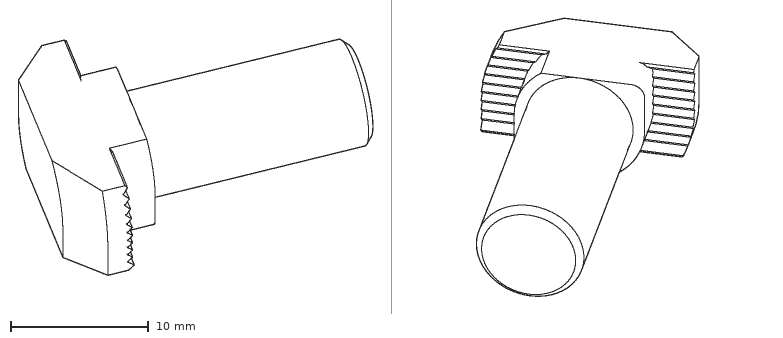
import cadquery as cq
import math


thickness = 8.0
half_thickness = thickness / 2
total_length = 24.2

head_width = 15.8
head_chamfer = 2.6
left_round_start = 0.0
right_round_start = -0.8
left_setback_base = 0.92
left_setback_face = 1.78
right_setback_base = 1.33
right_setback_face = 2.6

groove_root_y = 4.09
groove_pitch = 0.805
first_groove_z = 4.23
regular_groove_count = 10
last_groove_z = -4.08
clamping_face_y = 4.62

neck_width = 9.7
neck_round_start = 0.0
neck_round_setback = 2.0
neck_end_y = 7.17
neck_corner_radius = 1.0

shank_diameter = thickness
shank_chamfer = 0.5


def rounding_point(side_x, start_z, setback, height):
    """X of a corner arc at the given height above start_z.

    The arc is tangent to the side at start_z and reaches the full setback at the top face.
    """
    full_height = half_thickness - start_z
    radius = (full_height ** 2 + setback ** 2) / (2 * setback)
    return side_x - radius + math.sqrt(radius ** 2 - height ** 2)


def section(workplane, half_width, left_start, left_setback, right_start, right_setback):
    """Block section with its upper right and lower left corners rounded by large arcs."""
    left_height = half_thickness + left_start
    right_height = half_thickness - right_start
    left_mid_x = -rounding_point(half_width, -left_start, left_setback, left_height / 2)
    right_mid_x = rounding_point(half_width, right_start, right_setback, right_height / 2)
    return (
        workplane.moveTo(half_width, -half_thickness)
        .lineTo(half_width, right_start)
        .threePointArc(
            (right_mid_x, right_start + right_height / 2),
            (half_width - right_setback, half_thickness),
        )
        .lineTo(-half_width, half_thickness)
        .lineTo(-half_width, left_start)
        .threePointArc(
            (left_mid_x, left_start - left_height / 2),
            (-half_width + left_setback, -half_thickness),
        )
        .close()
    )


def head_base_section(workplane):
    return section(
        workplane, head_width / 2,
        left_round_start, left_setback_base, right_round_start, right_setback_base,
    )


def head_face_section(workplane):
    return section(
        workplane, head_width / 2 - head_chamfer,
        left_round_start, left_setback_face, right_round_start, right_setback_face,
    )


def make_head():
    tapered = head_base_section(
        head_face_section(cq.Workplane("XZ")).workplane(offset=-head_chamfer)
    ).loft(ruled=True)
    straight = head_base_section(cq.Workplane("XZ", origin=(0, head_chamfer, 0))).extrude(
        head_chamfer - clamping_face_y
    )
    return tapered.union(straight)


def serration_groove(z):
    """V groove cutter across the whole head, with its root at height z."""
    reach = 2 * (clamping_face_y - groove_root_y)
    return (
        cq.Workplane("YZ")
        .polyline([
            (groove_root_y, z),
            (groove_root_y + reach, z + reach),
            (groove_root_y + reach, z - reach),
        ])
        .close()
        .extrude(head_width / 2, both=True)
    )


def cut_serrations(head):
    groove_heights = [first_groove_z - i * groove_pitch for i in range(regular_groove_count)]
    groove_heights.append(last_groove_z)
    for z in groove_heights:
        head = head.cut(serration_groove(z))
    return head


def make_neck():
    """Neck that can turn in the slot: two corners follow large arcs, the other two are filleted."""
    start_y = head_chamfer
    half_width = neck_width / 2
    middle_y = (start_y + neck_end_y) / 2
    neck = section(
        cq.Workplane("XZ", origin=(0, start_y, 0)), half_width,
        neck_round_start, neck_round_setback, neck_round_start, neck_round_setback,
    ).extrude(start_y - neck_end_y)
    sharp_corners = cq.selectors.SumSelector(
        cq.selectors.NearestToPointSelector((-half_width, middle_y, half_thickness)),
        cq.selectors.NearestToPointSelector((half_width, middle_y, -half_thickness)),
    )
    return neck.edges(sharp_corners).fillet(neck_corner_radius)


def make_shank():
    return (
        cq.Workplane("XZ", origin=(0, neck_end_y, 0))
        .circle(shank_diameter / 2)
        .extrude(neck_end_y - total_length)
        .faces(">Y")
        .chamfer(shank_chamfer)
    )


result = cut_serrations(make_head()).union(make_neck()).union(make_shank())